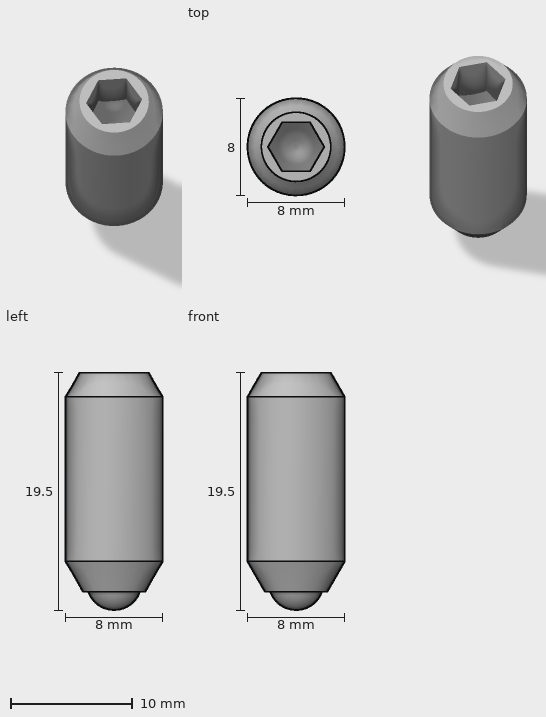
import cadquery as cq
import math


body_radius = 4.0
total_length = 19.5
taper_angle = math.radians(30)
top_taper_height = 2.0
bottom_taper_height = 2.5

ball_radius = 2.25
ball_protrusion = 1.5

hex_across_flats = 4.0
hex_depth = 4.0
floor_cone_half_angle = math.radians(60)

body_bottom = ball_protrusion
top_face_radius = body_radius - top_taper_height * math.tan(taper_angle)
bottom_face_radius = body_radius - bottom_taper_height * math.tan(taper_angle)
hex_across_corners = hex_across_flats / math.cos(math.pi / 6)
hex_corner_radius = hex_across_corners / 2
floor_cone_height = hex_corner_radius / math.tan(floor_cone_half_angle)


def make_ball():
    return cq.Workplane("XY").sphere(ball_radius).translate((0, 0, ball_radius))


def make_body_blank():
    """Cylinder with a conical taper at each end."""
    return (
        cq.Workplane("XZ")
        .moveTo(0, body_bottom)
        .lineTo(bottom_face_radius, body_bottom)
        .lineTo(body_radius, body_bottom + bottom_taper_height)
        .lineTo(body_radius, total_length - top_taper_height)
        .lineTo(top_face_radius, total_length)
        .lineTo(0, total_length)
        .close()
        .revolve(360, (0, 0, 0), (0, 1, 0))
    )


def make_hex_socket():
    """Hexagonal prism, corners on the X axis, ending in a drill-point cone."""
    cone_base = total_length - hex_depth
    cone_tip = cone_base - floor_cone_height
    hexagon = (
        cq.Workplane("XY", origin=(0, 0, cone_tip))
        .polygon(6, hex_across_corners)
        .extrude(total_length - cone_tip)
    )
    drilled_hole = (
        cq.Workplane("XZ")
        .moveTo(0, cone_tip)
        .lineTo(hex_corner_radius, cone_base)
        .lineTo(hex_corner_radius, total_length)
        .lineTo(0, total_length)
        .close()
        .revolve(360, (0, 0, 0), (0, 1, 0))
    )
    return hexagon.intersect(drilled_hole)


def make_screw(ball):
    """Tapered body with the hexagon socket on top and the ball seat below."""
    return make_body_blank().cut(make_hex_socket()).cut(ball).solids()


ball = make_ball()
screw = make_screw(ball)

result = cq.Compound.makeCompound([screw.val(), ball.val()])